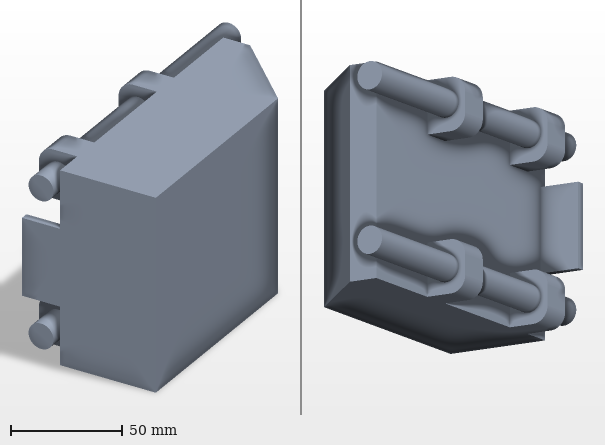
import cadquery as cq


block_width = 50.0
height = 100.0
overall_length = 143.4
cover_flat_width = 14.0
cover_flat_thickness = 3.5
cover_slope_rise = 7.1
block_flat_width = cover_flat_width + cover_flat_thickness - cover_slope_rise
block_length = overall_length - cover_flat_thickness

lug_reach = 20.0
lug_height = 25.0
lug_length = 15.0
lug_radius = 7.6
lug_starts = [15.0, 85.0]

rod_diameter = 13.0
rod_length = 165
rod_x = -lug_reach / 2
rod_edge_distance = 12.0
rod_z = height / 2 - rod_edge_distance

tab_thickness = 4.0
tab_height = 40.0

sides = [1, -1]


def block_outline(flat_width, length):
    """Plan points of the back edge: left corner, end of the flat, end of the slope."""
    slope_drop = block_width - flat_width
    return [(0, length), (flat_width, length), (block_width, length - slope_drop)]


def extrude_plan(points):
    """Extrude a plan outline over the full height."""
    return cq.Workplane("XY", origin=(0, 0, -height / 2)).polyline(points).close().extrude(height)


def make_lug(side, start):
    """A lug with two rounded outer edges, flush with the top or bottom face."""
    center_z = side * (height - lug_height) / 2
    lug = cq.Workplane("XY").box(lug_reach, lug_length, lug_height)
    lug = lug.edges("|Y and <X").fillet(lug_radius)
    return lug.translate((-lug_reach / 2, start + lug_length / 2, center_z))


def make_tab():
    """The plate that extends the front face between the lugs."""
    tab = cq.Workplane("XY").box(lug_reach, tab_thickness, tab_height)
    return tab.translate((-lug_reach / 2, tab_thickness / 2, 0))


def make_rod(side):
    """A straight rod along Y, starting at the front face."""
    return cq.Workplane("XZ", origin=(rod_x, 0, side * rod_z)).circle(rod_diameter / 2).extrude(-rod_length)


def make_housing(rods):
    """Block with tab and lugs, bored to fit the rods."""
    back_edge = block_outline(block_flat_width, block_length)
    housing = extrude_plan([(0, 0), *back_edge, (block_width, 0)]).union(make_tab())
    for side in sides:
        for start in lug_starts:
            housing = housing.union(make_lug(side, start))
    for rod in rods:
        housing = housing.cut(rod)
    return housing


def make_cover():
    """Plate that follows the flat and the slope at the back of the block."""
    inner_edge = block_outline(block_flat_width, block_length)
    outer_edge = block_outline(cover_flat_width, overall_length)
    return extrude_plan(inner_edge + outer_edge[::-1])


rods = [make_rod(side) for side in sides]
housing = make_housing(rods)
cover = make_cover()

result = cq.Compound.makeCompound([housing.val(), cover.val(), *[rod.val() for rod in rods]])